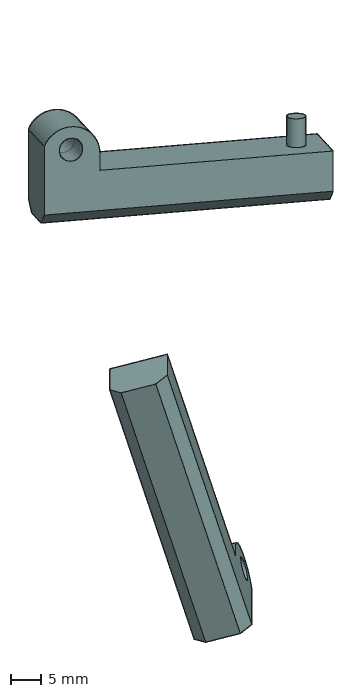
import cadquery as cq

width = 10.0
length = 49.8
bar_height = 9.0
bottom_chamfer = 2.0

total_height = 17.0
lug_radius = 5.0
lug_back_y = 9.6
lug_axis_y = lug_back_y - lug_radius
lug_axis_z = total_height - lug_radius

hole_diameter = 4.0
hole_y = lug_axis_y
hole_z = 13.0

pin_diameter = 3.2
pin_height = 5.0
pin_end_offset = 5.0


def along_x(y, z, diameter):
    """Cylinder across the full width of the bar."""
    return cq.Workplane("YZ", origin=(0, y, z)).circle(diameter / 2).extrude(width / 2, both=True)


def make_bar():
    bar = cq.Workplane("XY").box(width, length, bar_height, centered=(True, False, False))
    return bar.faces("<Z").edges("|Y").chamfer(bottom_chamfer)


def make_lug():
    """Block with a round top, trimmed flush with the hinge end of the bar."""
    post_height = lug_axis_z - bottom_chamfer
    post = (
        cq.Workplane("XY", origin=(0, 0, bottom_chamfer))
        .box(width, lug_back_y, post_height, centered=(True, False, False))
    )
    round_top = along_x(lug_axis_y, lug_axis_z, 2 * lug_radius)
    envelope = cq.Workplane("XY").box(width, length, total_height, centered=(True, False, False))
    return post.union(round_top.intersect(envelope))


def make_pin():
    return (
        cq.Workplane("XY", origin=(0, length - pin_end_offset, bar_height))
        .circle(pin_diameter / 2)
        .extrude(pin_height)
    )


result = (
    make_bar()
    .union(make_lug())
    .cut(along_x(hole_y, hole_z, hole_diameter))
    .union(make_pin())
)